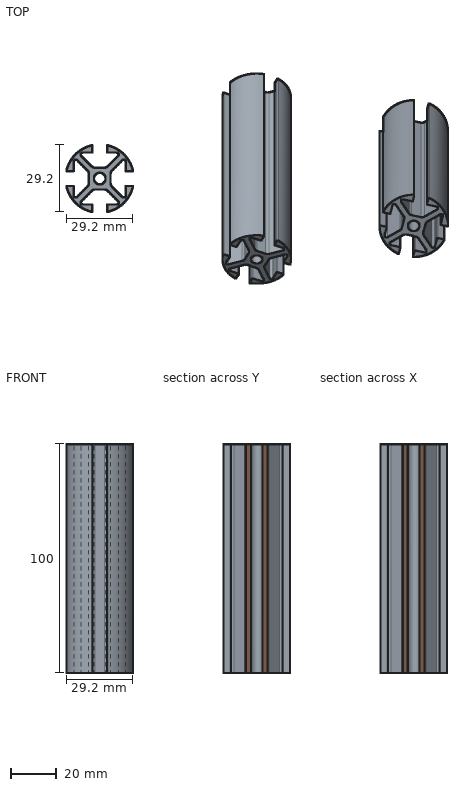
import cadquery as cq
import math

length = 100.0
outer_diameter = 30.0
bore_diameter = 5.0
slot_count = 4

slot_width = 6.4
cavity_floor = 4.8
cavity_ceiling = 11.3
web_thickness = 2.7
core_fillet = 2.0
pocket_fillet = 0.8
lip_fillet = 0.3

web_offset = web_thickness / math.sqrt(2)
floor_half_width = cavity_floor - web_offset
ceiling_half_width = cavity_ceiling - web_offset


def slot_cutter(angle):
    """T-slot opening towards +Y, turned about the axis by angle."""
    cavity = (
        cq.Workplane("XY")
        .polyline([
            (-floor_half_width, cavity_floor),
            (floor_half_width, cavity_floor),
            (ceiling_half_width, cavity_ceiling),
            (-ceiling_half_width, cavity_ceiling),
        ])
        .close()
        .extrude(length)
    )
    cavity = cavity.edges("|Z and <Y").fillet(core_fillet)
    cavity = cavity.edges("|Z and (<X or >X)").fillet(pocket_fillet)

    mouth_depth = outer_diameter / 2 - cavity_ceiling
    mouth = (
        cq.Workplane("XY")
        .center(0, cavity_ceiling + mouth_depth / 2)
        .rect(slot_width, mouth_depth)
        .extrude(length)
    )
    cutter = cavity.union(mouth)
    return cutter.rotate((0, 0, 0), (0, 0, 1), angle)


body = cq.Workplane("XY").circle(outer_diameter / 2).extrude(length)
for index in range(slot_count):
    body = body.cut(slot_cutter(index * 360 / slot_count))

mouth_half_width = slot_width / 2
mouth_height = math.sqrt((outer_diameter / 2) ** 2 - mouth_half_width ** 2)
for index in range(slot_count):
    angle = math.radians(index * 360 / slot_count)
    for across in (-mouth_half_width, mouth_half_width):
        for outward in (mouth_height, cavity_ceiling):
            x = across * math.cos(angle) - outward * math.sin(angle)
            y = across * math.sin(angle) + outward * math.cos(angle)
            corner = cq.selectors.NearestToPointSelector((x, y, length / 2))
            body = body.edges(corner).fillet(lip_fillet)

bore = cq.Workplane("XY").circle(bore_diameter / 2).extrude(length)
result = body.cut(bore)